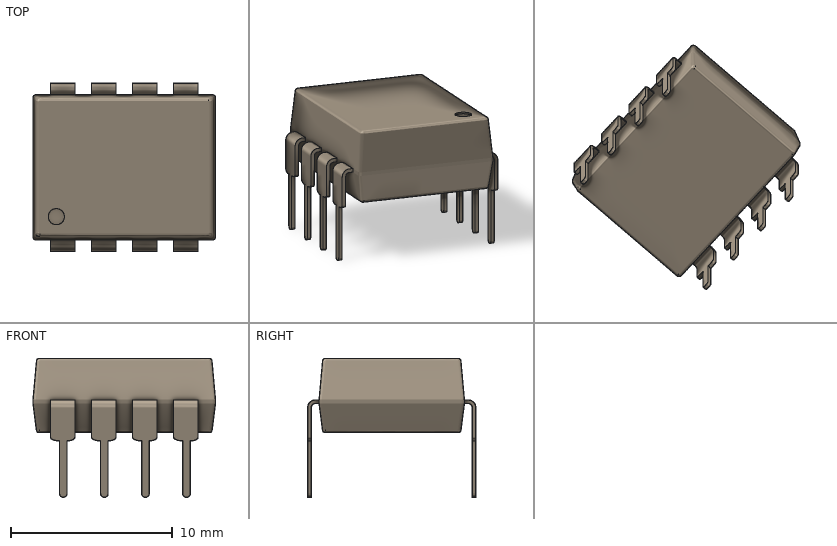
import cadquery as cq
import math

body_length = 11.3
body_width = 9.0
band_height = 0.23
upper_height = 2.57
lower_height = 1.8
draft_inset = 0.23
corner_radius = 0.2
rim_radius = 0.19
standoff = 0.51
band_bottom = standoff + lower_height
band_top = band_bottom + band_height
body_top = band_top + upper_height

mark_diameter = 1.0
mark_depth = 0.1
mark_edge_distance = 1.45

leads_per_side = 4
lead_pitch = 2.54
lead_span = 10.41
lead_thickness = band_height
bend_outer_radius = 0.48
bend_inner_radius = bend_outer_radius - lead_thickness
overall_height = 8.6
lead_bottom = body_top - overall_height
shoulder_width = 1.53
shoulder_sweep = 0.24
pin_width = 0.48
pin_offset = 0.04


def rounded_outline(inset):
    """Body outline moved in by the inset, with rounded corners."""
    return (
        cq.Sketch()
        .rect(body_length - 2 * inset, body_width - 2 * inset)
        .vertices()
        .fillet(corner_radius)
    )


def drafted_half(base_z, end_z):
    """Half of the body from the band outline to a smaller end face with a rounded rim."""
    half = (
        cq.Workplane("XY", origin=(0, 0, base_z))
        .placeSketch(
            rounded_outline(0),
            rounded_outline(draft_inset).moved(cq.Location(cq.Vector(0, 0, end_z - base_z))),
        )
        .loft(ruled=True)
    )
    end_face = ">Z" if end_z > base_z else "<Z"
    return half.faces(end_face).edges().fillet(rim_radius)


def make_body():
    """Molded body: straight parting band with drafted halves above and below it."""
    band = (
        cq.Workplane("XY", origin=(0, 0, band_bottom))
        .placeSketch(rounded_outline(0))
        .extrude(band_height)
    )
    upper = drafted_half(band_top, body_top)
    lower = drafted_half(band_bottom, standoff)
    body = band.union(upper).union(lower)
    mark_x = -body_length / 2 + mark_edge_distance
    mark_y = -body_width / 2 + mark_edge_distance
    mark = (
        cq.Workplane("XY", origin=(mark_x, mark_y, body_top))
        .circle(mark_diameter / 2)
        .extrude(-mark_depth)
    )
    return body.cut(mark).solids()


def make_lead():
    """Lead on the -Y side at X = 0: leaves the band, bends down and narrows to a pin."""
    body_face = -body_width / 2
    outer_face = -lead_span / 2
    inner_face = outer_face + lead_thickness
    bend_y = outer_face + bend_outer_radius
    bend_z = band_top - bend_outer_radius
    diagonal = math.sqrt(0.5)
    strip = (
        cq.Workplane("YZ")
        .moveTo(body_face, band_top)
        .lineTo(bend_y, band_top)
        .threePointArc(
            (bend_y - bend_outer_radius * diagonal, bend_z + bend_outer_radius * diagonal),
            (outer_face, bend_z),
        )
        .lineTo(outer_face, lead_bottom)
        .lineTo(inner_face, lead_bottom)
        .lineTo(inner_face, bend_z)
        .threePointArc(
            (bend_y - bend_inner_radius * diagonal, bend_z + bend_inner_radius * diagonal),
            (bend_y, band_bottom),
        )
        .lineTo(body_face, band_bottom)
        .close()
        .extrude(shoulder_width / 2, both=True)
    )
    shoulder_side = shoulder_width / 2
    pin_left = pin_offset - pin_width / 2
    pin_right = pin_offset + pin_width / 2
    tip_center_z = lead_bottom + pin_width / 2
    outline = (
        cq.Workplane("XZ")
        .moveTo(-shoulder_side, band_top)
        .lineTo(-shoulder_side, shoulder_sweep)
        .ellipseArc(pin_left + shoulder_side, shoulder_sweep, 180, 270)
        .lineTo(pin_left, tip_center_z)
        .threePointArc((pin_offset, lead_bottom), (pin_right, tip_center_z))
        .lineTo(pin_right, 0)
        .ellipseArc(shoulder_side - pin_right, shoulder_sweep, 270, 360)
        .lineTo(shoulder_side, band_top)
        .close()
        .extrude(lead_span / 2)
    )
    return strip.intersect(outline).solids()


def make_leads():
    """Two mirrored rows of leads, one solid each."""
    lead = make_lead()
    leads = []
    for index in range(leads_per_side):
        x = (index - (leads_per_side - 1) / 2) * lead_pitch
        front_lead = lead.translate((x, 0, 0))
        leads.append(front_lead.val())
        leads.append(front_lead.mirror("XZ").val())
    return leads


body = make_body()
leads = make_leads()

result = cq.Compound.makeCompound([body.val(), *leads])